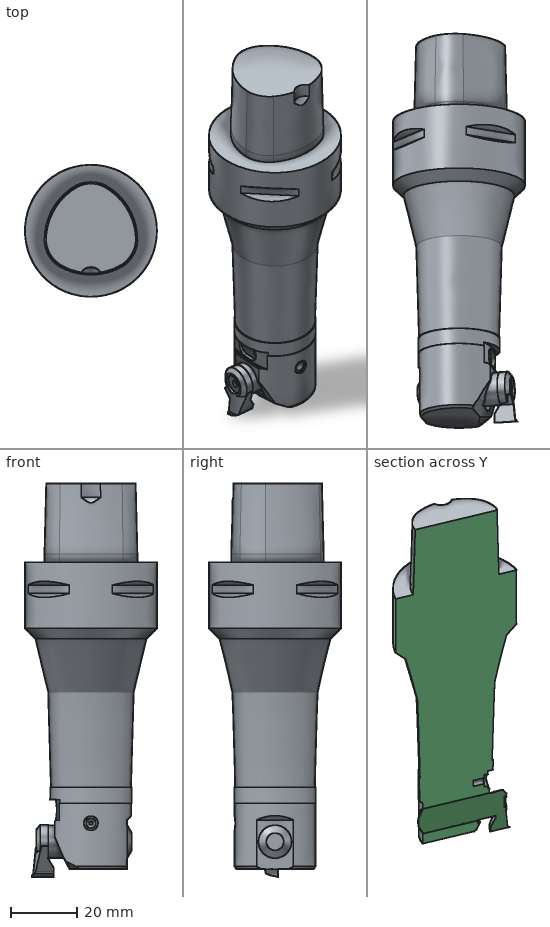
import cadquery as cq
import math


shank_top = 23.8
shank_land = 2.5
shank_taper = 1.43
lobe_reach = 14.8
seam_reach = 14.4
side_reach = 13.3
seam_angle = 18.0

notch_diameter = 6.7
notch_axis_y = -14.3
notch_cone_top = 19.6
notch_cone_depth = 2.9

flange_radius = 20.0
flange_bottom = -20.0
flange_bevel = 3.2
neck_start = -39.2
neck_radius = 13.0
neck_end = -68.1
neck_end_radius = 12.1
collar_radius = 12.4
collar_bottom = -72.8
head_radius = 12.3
head_bottom = -92.8
head_chamfer_width = 0.6
head_chamfer_height = 0.8

pocket_count = 4
pocket_z = -8.2
pocket_floor_distance = 18.0
pocket_floor_height = 2.5
pocket_mouth_height = 4.9
pocket_overrun = 1.2

head_flat = 11.0
flat_top = -78.0
flat_runout = 1.4
slope_top = -83.1
slope_break_x = -8.2
slope_break_z = -89.5
slope_end_x = -6.4

chip_relief_inner = (-6.5, -3.3, -92.2)
chip_relief_lower = (-3.3, -11.8, -92.7)
chip_relief_upper = (-7.6, -9.6, -90.4)

window_top = -71.8
window_floor = 10.6
window_floor_radius = 28.5
oval_y = 0.6
oval_z = -75.0
oval_length = 8.1
oval_width = 5.0
oval_floor = 9.3
oval_hole_diameter = 2.0
oval_hole_y = -2.0
oval_hole_depth = 3.6

recess_y_low = -5.0
recess_y_high = 2.5
recess_bottom = -90.0
recess_floor_x = -7.1

clamp_z = -78.9
clamp_diameter = 4.3
clamp_depth = 0.6
cone_diameter = 3.0
cone_tip_diameter = 1.0
cone_depth = 1.4

bar_diameter = 10.0
bar_z = -84.5
bar_end_height = 1.4
bar_end_diameter = 5.2
disc_diameter = 10.2
lever_back_x = -13.0
lever_face_x = -16.5
lever_chamfer_x = 1.2
lever_chamfer_r = 1.4
dimple_diameter = 6.0
dimple_depth = 0.7
center_hole_diameter = 2.1
center_hole_depth = 1.0
arm_face_x = -17.5
arm_face_end_z = -94.2
arm_rounding = 10.7
arm_edge_y = 1.0
tip_x = -17.8
total_length = 119.0
tip_z = shank_top - total_length
tip_nib = 0.5
tip_back_x = -11.2
tip_back_top_z = -92.5
arm_back_end_z = -89.5
arm_root = (3.6, -87.5)
arm_waist_z = -89.8
arm_relief_side = [(-5.0, -85.8), (-3.0, -93.4), (-2.7, -94.1), (-1.3, -94.7)]

OVERSIZE = 71.4


def x_cylinder(diameter, x_start, x_end, y, z):
    return (
        cq.Workplane("YZ", origin=(x_start, y, z))
        .circle(diameter / 2)
        .extrude(x_end - x_start)
    )


def half_space(a, b, c):
    """Large block on the side of plane a-b-c that its right-handed normal points to."""
    origin, second, third = cq.Vector(*a), cq.Vector(*b), cq.Vector(*c)
    x_direction = second - origin
    normal = x_direction.cross(third - origin)
    plane = cq.Plane(origin=origin, xDir=x_direction, normal=normal)
    return cq.Workplane(plane).rect(OVERSIZE, OVERSIZE).extrude(OVERSIZE)


def polar(reach, degrees):
    angle = math.radians(degrees)
    return (reach * math.cos(angle), reach * math.sin(angle))


def polygon_outline(z):
    """Rounded triangle of three lobe arcs and three side arcs."""
    outline = cq.Workplane("XY", origin=(0, 0, z)).moveTo(*polar(seam_reach, 90 - seam_angle))
    for lobe in (90, 210, 330):
        outline = outline.threePointArc(polar(lobe_reach, lobe), polar(seam_reach, lobe + seam_angle))
        outline = outline.threePointArc(
            polar(side_reach, lobe + 60), polar(seam_reach, lobe + 120 - seam_angle)
        )
    return outline.close()


def make_shank():
    land = polygon_outline(0).extrude(shank_land)
    cone = polygon_outline(shank_land).extrude(shank_top - shank_land, taper=shank_taper)
    notch = (
        cq.Workplane("XZ")
        .polyline([
            (0, shank_top),
            (notch_diameter / 2, shank_top),
            (notch_diameter / 2, notch_cone_top),
            (0, notch_cone_top - notch_cone_depth),
        ])
        .close()
        .revolve(360, (0, 0), (0, 1))
        .translate((0, notch_axis_y, 0))
    )
    return land.union(cone).cut(notch)


def make_turned_body():
    bevel_radius = flange_radius - flange_bevel
    return (
        cq.Workplane("XZ")
        .polyline([
            (0, 0),
            (flange_radius, 0),
            (flange_radius, flange_bottom),
            (bevel_radius, flange_bottom - flange_bevel),
            (neck_radius, neck_start),
            (neck_end_radius, neck_end),
            (collar_radius, neck_end),
            (collar_radius, collar_bottom),
            (head_radius, collar_bottom),
            (head_radius, head_bottom + head_chamfer_height),
            (head_radius - head_chamfer_width, head_bottom),
            (0, head_bottom),
        ])
        .close()
        .revolve(360, (0, 0), (0, 1))
    )


def gripper_pocket(angle):
    """V-sided groove across the flange, facing the given direction."""
    slope = (pocket_mouth_height - pocket_floor_height) / 2 / (flange_radius - pocket_floor_distance)
    outer = flange_radius + pocket_overrun
    half_floor = pocket_floor_height / 2
    half_outer = half_floor + slope * (outer - pocket_floor_distance)
    return (
        cq.Workplane("XZ", origin=(0, 0, pocket_z))
        .polyline([
            (pocket_floor_distance, -half_floor),
            (outer, -half_outer),
            (outer, half_outer),
            (pocket_floor_distance, half_floor),
        ])
        .close()
        .extrude(flange_radius, both=True)
        .rotate((0, 0, 0), (0, 0, 1), angle)
    )


def across_head(points):
    """XZ outline extruded through the head along Y."""
    return cq.Workplane("XZ").polyline(points).close().extrude(OVERSIZE, both=True)


def cut_head_sides(body):
    outside = 2 * head_radius
    slopes = across_head([
        (-window_floor, flat_top),
        (-head_flat, flat_top - (head_flat - window_floor)),
        (-head_flat, slope_top),
        (slope_break_x, slope_break_z),
        (slope_end_x, head_bottom),
        (-outside, head_bottom),
        (-outside, flat_top),
    ])
    back_flat = across_head([
        (head_flat, flat_top),
        (head_flat + flat_runout, flat_top + flat_runout),
        (outside, flat_top + flat_runout),
        (outside, head_bottom),
        (head_flat, head_bottom),
    ])
    chip_relief = half_space(chip_relief_inner, chip_relief_lower, chip_relief_upper)
    return body.cut(slopes).cut(back_flat).cut(chip_relief)


def cut_window(body):
    height = window_top - flat_top
    floor = (
        cq.Workplane("XY", origin=(window_floor_radius - window_floor, 0, flat_top))
        .circle(window_floor_radius)
        .extrude(height)
    )
    window = (
        cq.Workplane("XY", origin=(-head_radius, 0, flat_top))
        .rect(head_radius, 2 * head_radius)
        .extrude(height)
        .cut(floor)
    )
    oval = (
        cq.Workplane("YZ", origin=(-oval_floor, oval_y, oval_z))
        .slot2D(oval_length, oval_width)
        .extrude(-head_radius)
    )
    hole = x_cylinder(
        oval_hole_diameter, -oval_floor, -oval_floor + oval_hole_depth, oval_hole_y, oval_z
    )
    return body.cut(window).cut(oval).cut(hole)


def cut_bar_seat(body):
    bore = x_cylinder(bar_diameter, -flange_radius, flange_radius, 0, bar_z)
    recess = (
        cq.Workplane("XY", origin=(recess_floor_x, 0, recess_bottom))
        .polyline([
            (0, recess_y_low),
            (0, recess_y_high),
            (-head_radius, recess_y_high),
            (-head_radius, recess_y_low),
        ])
        .close()
        .extrude(bar_z - recess_bottom)
    )
    return body.cut(bore).cut(recess)


def cut_clamp_point(body):
    seat_y = -head_radius + clamp_depth
    hole = (
        cq.Workplane("XY")
        .polyline([
            (0, -collar_radius),
            (clamp_diameter / 2, -collar_radius),
            (clamp_diameter / 2, seat_y),
            (cone_diameter / 2, seat_y),
            (cone_tip_diameter / 2, seat_y + cone_depth),
            (0, seat_y + cone_depth),
        ])
        .close()
        .revolve(360, (0, 0), (0, 1))
        .translate((0, 0, clamp_z))
    )
    return body.cut(hole)


def make_holder():
    body = make_turned_body().union(make_shank())
    for index in range(pocket_count):
        body = body.cut(gripper_pocket(45 + index * 360 / pocket_count))
    body = cut_head_sides(body)
    body = cut_window(body)
    body = cut_bar_seat(body)
    return cut_clamp_point(body)


def make_bar_round():
    """Turned bar along X: chamfered disc in front, beveled end behind."""
    radius = bar_diameter / 2
    disc_radius = disc_diameter / 2
    return (
        cq.Workplane("XY")
        .moveTo(lever_face_x, 0)
        .lineTo(lever_face_x, disc_radius - lever_chamfer_r)
        .lineTo(lever_face_x + lever_chamfer_x, disc_radius)
        .lineTo(lever_back_x, disc_radius)
        .lineTo(lever_back_x, radius)
        .lineTo(head_flat, radius)
        .lineTo(head_flat + bar_end_height, bar_end_diameter / 2)
        .lineTo(head_flat + bar_end_height, 0)
        .close()
        .revolve(360, (0, 0), (1, 0))
        .translate((0, 0, bar_z))
    )


def arm_edge_rounding():
    """Waste outside an arc that rounds the arm face off towards -Y, along the sloping face."""
    face_direction = cq.Vector(arm_face_x - lever_face_x, 0, arm_face_end_z - bar_z)
    face_plane = cq.Plane(origin=(lever_face_x, 0, bar_z), xDir=(0, 1, 0), normal=face_direction)
    keep_circle = (
        cq.Workplane(face_plane)
        .center(arm_edge_y, arm_rounding)
        .circle(arm_rounding)
        .extrude(face_direction.Length)
    )
    waste = (
        cq.Workplane(face_plane)
        .moveTo(arm_edge_y, 0)
        .lineTo(arm_edge_y - arm_rounding, 0)
        .lineTo(arm_edge_y - arm_rounding, arm_rounding)
        .lineTo(arm_edge_y, arm_rounding)
        .close()
        .extrude(face_direction.Length)
    )
    return waste.cut(keep_circle)


def make_arm():
    """Tapering arm that hangs from the disc and carries the cutting tip."""
    front_outline = (
        cq.Workplane("YZ", origin=(-flange_radius, 0, 0))
        .polyline([
            *arm_relief_side,
            (arm_edge_y, tip_z),
            (arm_edge_y, arm_waist_z),
            arm_root,
            (0, bar_z),
        ])
        .close()
        .extrude(flange_radius)
    )
    side_outline = across_head([
        (lever_back_x, bar_z),
        (lever_face_x, bar_z),
        (arm_face_x, arm_face_end_z),
        (tip_x, tip_z + tip_nib),
        (tip_x, tip_z),
        (tip_back_x, tip_z),
        (tip_back_x, tip_back_top_z),
        (lever_back_x, arm_back_end_z),
    ])
    return front_outline.intersect(side_outline).cut(arm_edge_rounding())


def make_cutter_bar():
    bar = make_bar_round().union(make_arm())
    dimple_floor = lever_face_x + dimple_depth
    dimple = x_cylinder(dimple_diameter, tip_x, dimple_floor, 0, bar_z)
    center_hole = x_cylinder(center_hole_diameter, tip_x, dimple_floor + center_hole_depth, 0, bar_z)
    return bar.cut(dimple).cut(center_hole)


holder = make_holder()
cutter_bar = make_cutter_bar()

result = cq.Compound.makeCompound([holder.solids().val(), cutter_bar.solids().val()])